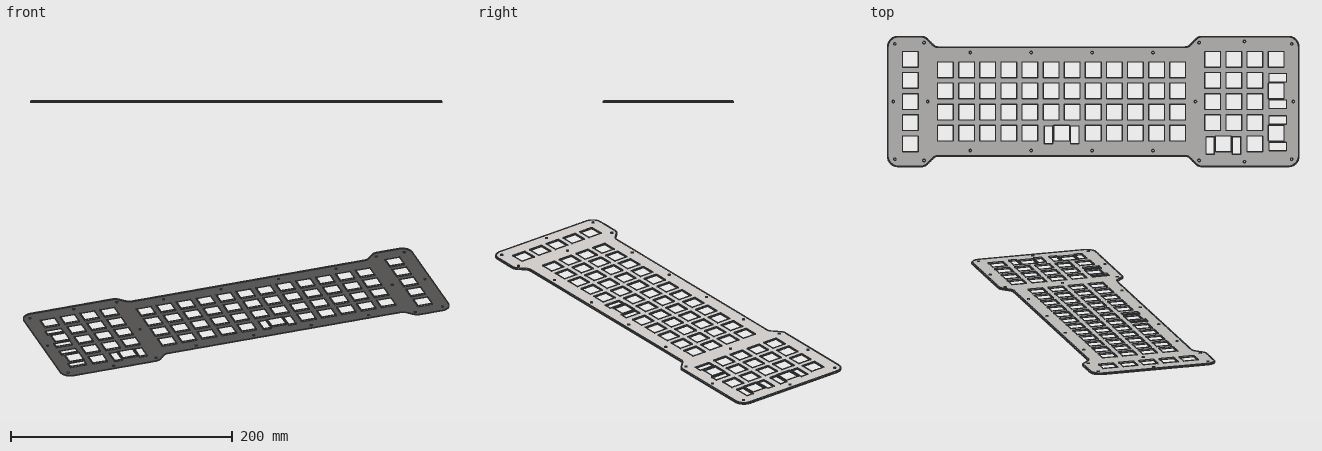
import cadquery as cq

length = 371.5
end_width = 117.7
waist_width = 98.8
thickness = 1.5
edge_chamfer = 0.7
corner_radius = 9.5
shoulder_radius = 7.5
waist_radius = 5.5

block_columns = 12
block_rows = 4
block_span = 209.5
pitch = block_span / (block_columns - 1)
block_x = -1.5 * pitch
end_column_x = 165.0
end_rows = 5
pad_columns = 4
switch_margin = 2.53
switch_size = pitch - 2 * switch_margin

slot_width = 7.5
slot_length = 15.5
slot_spacing = 23.8
slot_offset = 1.5

shoulder_reach = 123.3
waist_reach = shoulder_reach - (end_width - waist_width) / 2

screw_diameter = 2.0
corner_screw_x = 179.0
corner_screw_y = 52.0
end_screw_x = 180.5
neck_screw_reach = 120.7
pad_screw_y = 54.2
edge_screw_count = 4
edge_screw_spacing = 55.0
edge_screw_y = 44.2
shoulder_hole_diameter = 2.2
shoulder_hole_reach = 124.0
shoulder_hole_y = 53.0

SIDES = (-1, 1)


def spaced(count, spacing, middle=0.0):
    """Evenly spaced coordinates, lowest first, about a middle value."""
    return [middle + (i - (count - 1) / 2) * spacing for i in range(count)]


def round_mirrored_corners(plate, corners, radius):
    """Round the upright edges at the given corners and at their mirror images in Y."""
    for x, y in corners:
        for side in SIDES:
            nearest = cq.selectors.NearestToPointSelector((x, side * y, thickness / 2))
            plate = plate.edges("|Z").edges(nearest).fillet(radius)
    return plate


def make_plate():
    """The outline with rounded corners and a chamfered top edge."""
    half_length = length / 2
    half_end = end_width / 2
    half_waist = waist_width / 2
    shoulders = [(block_x + side * shoulder_reach, half_end) for side in SIDES]
    waist_corners = [(block_x + side * waist_reach, half_waist) for side in SIDES]
    upper = [
        (-half_length, half_end),
        shoulders[0],
        waist_corners[0],
        waist_corners[1],
        shoulders[1],
        (half_length, half_end),
    ]
    lower = [(x, -y) for x, y in reversed(upper)]
    plate = cq.Workplane("XY").polyline(upper + lower).close().extrude(thickness)
    plate = plate.edges("|Z and (<X or >X)").fillet(corner_radius)
    plate = round_mirrored_corners(plate, shoulders, shoulder_radius)
    plate = round_mirrored_corners(plate, waist_corners, waist_radius)
    return plate.faces(">Z").edges().chamfer(edge_chamfer)


def cut_rectangles(plate, centres, x_size, y_size):
    cutter = cq.Workplane("XY").pushPoints(centres).rect(x_size, y_size).extrude(thickness)
    return plate.cut(cutter)


def cut_holes(plate, centres, diameter):
    cutter = cq.Workplane("XY").pushPoints(centres).circle(diameter / 2).extrude(thickness)
    return plate.cut(cutter)


block_xs = spaced(block_columns, pitch, block_x)
block_ys = spaced(block_rows, pitch)
end_ys = spaced(end_rows, pitch)
pad_x = end_column_x - (pad_columns - 1) / 2 * pitch
pad_xs = spaced(pad_columns, pitch, pad_x)

space_bar_x = (block_xs[5] + block_xs[6]) / 2
zero_key_x = (pad_xs[0] + pad_xs[1]) / 2
wide_keys = [(space_bar_x, block_ys[0]), (zero_key_x, end_ys[0])]
tall_keys = [(end_column_x, (end_ys[row] + end_ys[row + 1]) / 2) for row in (0, 2)]

left_keys = [(-end_column_x, y) for y in end_ys]
block_keys = [(x, y) for x in block_xs for y in block_ys[1:]]
block_keys += [(x, block_ys[0]) for x in block_xs[:5] + block_xs[7:]]
pad_keys = [(x, y) for x in pad_xs[:-1] for y in end_ys[1:]]
pad_keys += [(pad_xs[2], end_ys[0]), (pad_xs[3], end_ys[-1])]
switches = left_keys + block_keys + pad_keys + wide_keys + tall_keys

slot_sides = [side * slot_spacing / 2 for side in SIDES]
upright_slots = [(x + shift, y - slot_offset) for x, y in wide_keys for shift in slot_sides]
flat_slots = [(x + slot_offset, y + shift) for x, y in tall_keys for shift in slot_sides]

screws = [(sx * corner_screw_x, sy * corner_screw_y) for sx in SIDES for sy in SIDES]
screws += [(side * end_screw_x, 0) for side in SIDES]
screws += [(block_x + side * neck_screw_reach, 0) for side in SIDES]
screws += [(pad_x, side * pad_screw_y) for side in SIDES]
edge_screw_xs = spaced(edge_screw_count, edge_screw_spacing, block_x)
screws += [(x, side * edge_screw_y) for x in edge_screw_xs for side in SIDES]

shoulder_holes = [
    (block_x + sx * shoulder_hole_reach, sy * shoulder_hole_y) for sx in SIDES for sy in SIDES
]

plate = make_plate()
plate = cut_rectangles(plate, switches, switch_size, switch_size)
plate = cut_rectangles(plate, upright_slots, slot_width, slot_length)
plate = cut_rectangles(plate, flat_slots, slot_length, slot_width)
plate = cut_holes(plate, screws, screw_diameter)
plate = cut_holes(plate, shoulder_holes, shoulder_hole_diameter)
result = plate